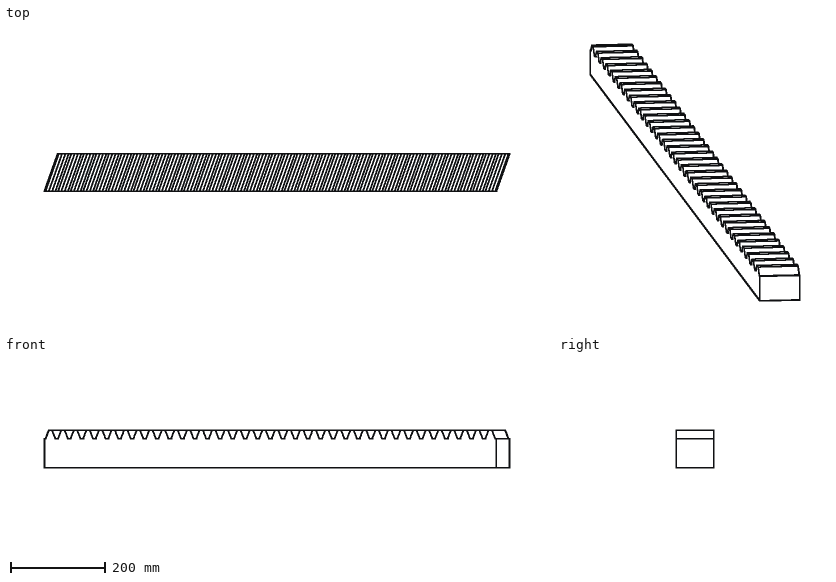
import cadquery as cq
import math

total_length = 987.0
bar_width = 80.0
bar_height = 80.0

tooth_count = 36
normal_module = 8.0
helix_angle = math.radians(19.53)
normal_pressure_angle = math.radians(20)
addendum = normal_module
dedendum = 1.25 * normal_module

skew = bar_width * math.tan(helix_angle)
face_length = total_length - skew
pitch = math.pi * normal_module / math.cos(helix_angle)
flank_slope = math.tan(normal_pressure_angle) / math.cos(helix_angle)
tip_width = pitch / 2 - 2 * addendum * flank_slope
base_width = pitch / 2 + 2 * dedendum * flank_slope
flank_run = (base_width - tip_width) / 2
end_land = (face_length - (tooth_count - 1) * pitch - base_width) / 2
root_z = bar_height - addendum - dedendum


def tooth_points(base_x):
    """Trapezoid corners of one tooth, from its low-X base corner to its high-X one."""
    tip_x = base_x + flank_run
    return [
        (base_x, root_z),
        (tip_x, bar_height),
        (tip_x + tip_width, bar_height),
        (base_x + base_width, root_z),
    ]


def rack_outline():
    """Closed front-face outline: flat bottom, square ends and a row of teeth."""
    points = [(0, 0), (0, root_z)]
    for index in range(tooth_count):
        points += tooth_points(end_land + index * pitch)
    points += [(face_length, root_z), (face_length, 0)]
    return cq.Workplane("XZ").polyline(points).close().val()


slant = cq.Vector(skew, bar_width, 0)
result = cq.Workplane(cq.Solid.extrudeLinear(rack_outline(), [], slant))